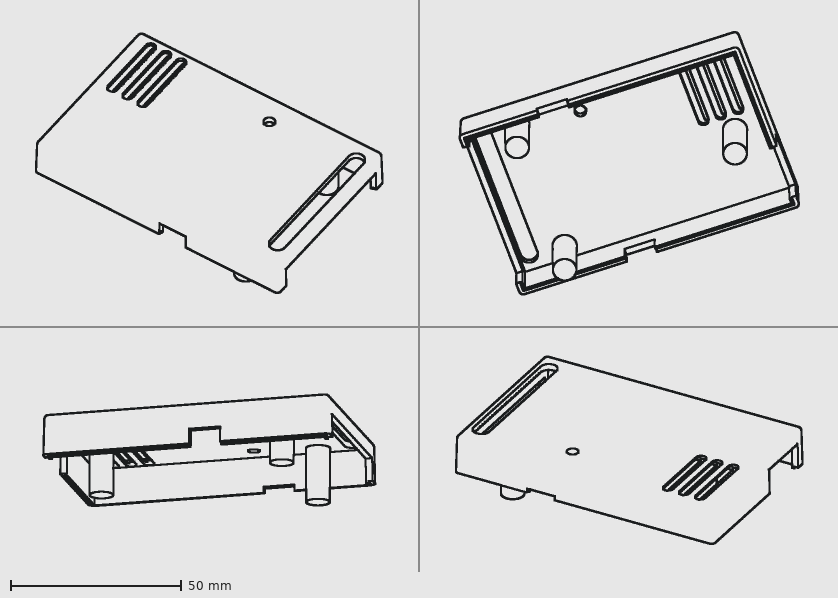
import cadquery as cq
LENGTH = 87
WIDTH = 55.0
HEIGHT = 18.4

RIM_Z = 6.1
WALL = 2.0
ROOF = 2.0
EDGE_RADIUS = 1.3
DRAFT = 1.2
LIP_INSET = 1.3
LIP_DROP = 0.5
LIP_Z = RIM_Z - LIP_DROP
ROOF_UNDERSIDE = HEIGHT - ROOF

FOOT_DIAMETER = 7.0
FOOT_DRAFT = 0.4
FOOT_CENTRES = [(-32.1, -2.35), (27.6, -21.2), (27.6, 20.8)]

LONG_SLOT_X = 38.4
LONG_SLOT_LENGTH = 45.9
LONG_SLOT_WIDTH = 5.2
VENT_COUNT = 3
VENT_FIRST_X = -37.0
VENT_PITCH = 5.4
VENT_Y = 13.6
VENT_LENGTH = 22.9
VENT_WIDTH = 3.1
VENT_SHIFT = 1.8
VENT_UPPER_DEPTH = ROOF / 2
VENT_LOWER_COVER = 0.5
INDICATOR_DIAMETER = 3.5
INDICATOR_CENTRE = (8.7, 18.5)

LEFT_NOTCH = (-23.8, -6.7, 14.2)
RIGHT_NOTCH = (-23.3, 23.3, 13.05)
FRONT_NOTCH = (1.05, 10.4, 10.6)
BACK_NOTCH = (9.7, 19.1, 7.4)

CLEARANCE = 0.9


def box_between(x_start, x_end, y_start, y_end, z_start, z_end):
    """Box given by its limits along each axis."""
    return cq.Workplane("XY").box(
        x_end - x_start, y_end - y_start, z_end - z_start, centered=False
    ).translate((x_start, y_start, z_start))


def make_shell():
    """Hollow cover with leaning walls, rounded edges and an inset lip."""
    outer = (
        cq.Workplane("XY", origin=(0, 0, RIM_Z))
        .rect(LENGTH, WIDTH)
        .extrude(HEIGHT - RIM_Z, taper=DRAFT)
    )
    outer = outer.edges("not #Z").fillet(EDGE_RADIUS)
    outer = outer.faces(">Z").edges().fillet(EDGE_RADIUS)
    lip = (
        cq.Workplane("XY", origin=(0, 0, LIP_Z))
        .rect(LENGTH - 2 * LIP_INSET, WIDTH - 2 * LIP_INSET)
        .extrude(LIP_DROP)
    )
    lip_opening = (
        cq.Workplane("XY", origin=(0, 0, LIP_Z))
        .rect(LENGTH - 2 * WALL, WIDTH - 2 * WALL)
        .extrude(LIP_DROP)
    )
    cavity = (
        cq.Workplane("XY", origin=(0, 0, RIM_Z))
        .rect(LENGTH - 2 * WALL, WIDTH - 2 * WALL)
        .extrude(ROOF_UNDERSIDE - RIM_Z, taper=DRAFT)
    )
    return outer.union(lip).cut(lip_opening).cut(cavity)


def make_feet():
    """Round posts that widen slightly from the ground up to the roof."""
    return (
        cq.Workplane("XY")
        .pushPoints(FOOT_CENTRES)
        .circle(FOOT_DIAMETER / 2)
        .extrude(ROOF_UNDERSIDE + ROOF / 2, taper=-FOOT_DRAFT)
    )


def make_notches():
    """Openings that run up from the lip, one in each wall."""
    base = LIP_Z - CLEARANCE
    left = -LENGTH / 2 - CLEARANCE
    right = LENGTH / 2 + CLEARANCE
    front = -WIDTH / 2 - CLEARANCE
    back = WIDTH / 2 + CLEARANCE
    depth = WALL + 2 * CLEARANCE
    y_start, y_end, top = LEFT_NOTCH
    notches = box_between(left, left + depth, y_start, y_end, base, top)
    y_start, y_end, top = RIGHT_NOTCH
    notches = notches.union(box_between(right - depth, right, y_start, y_end, base, top))
    x_start, x_end, top = FRONT_NOTCH
    notches = notches.union(box_between(x_start, x_end, front, front + depth, base, top))
    x_start, x_end, top = BACK_NOTCH
    return notches.union(box_between(x_start, x_end, back - depth, back, base, top))


def make_vent(centre_x):
    """Stepped opening: an upper slot overlaps a lower slot set over toward +X."""
    upper = (
        cq.Workplane("XY", origin=(centre_x, VENT_Y, HEIGHT))
        .slot2D(VENT_LENGTH, VENT_WIDTH, 90)
        .extrude(-VENT_UPPER_DEPTH)
    )
    lower = (
        cq.Workplane("XY", origin=(centre_x + VENT_SHIFT, VENT_Y, ROOF_UNDERSIDE))
        .slot2D(VENT_LENGTH, VENT_WIDTH, 90)
        .extrude(ROOF - VENT_LOWER_COVER)
    )
    return upper.union(lower)


def make_roof_openings():
    """Long slot, indicator hole and vents, all open through the roof."""
    long_slot = (
        cq.Workplane("XY", origin=(LONG_SLOT_X, 0, ROOF_UNDERSIDE))
        .slot2D(LONG_SLOT_LENGTH, LONG_SLOT_WIDTH, 90)
        .extrude(ROOF)
    )
    indicator = (
        cq.Workplane("XY", origin=(*INDICATOR_CENTRE, ROOF_UNDERSIDE))
        .circle(INDICATOR_DIAMETER / 2)
        .extrude(ROOF)
    )
    openings = long_slot.union(indicator)
    for index in range(VENT_COUNT):
        openings = openings.union(make_vent(VENT_FIRST_X + index * VENT_PITCH))
    return openings


result = make_shell().cut(make_notches()).union(make_feet()).cut(make_roof_openings())